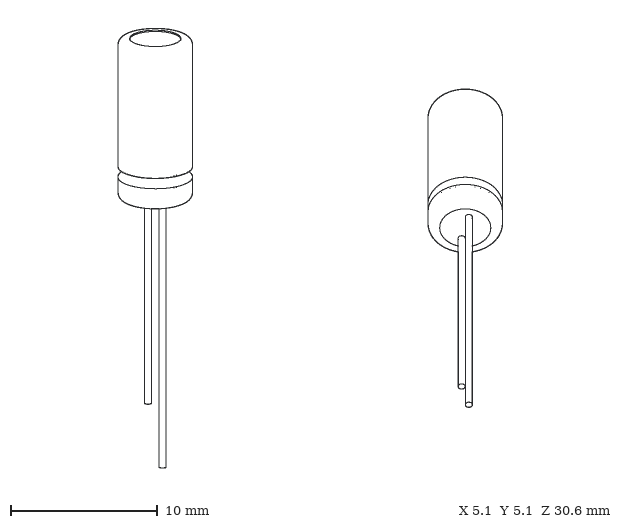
import cadquery as cq
import math

TOTAL_HEIGHT = 30.55
BODY_DIAMETER = 5.1
BODY_RADIUS = BODY_DIAMETER / 2

LONG_LEAD_LENGTH = 19.0
SHORT_LEAD_LENGTH = 15.0
LEAD_DIAMETER = 0.5
LEAD_SPACING = 2.02

BODY_HEIGHT = TOTAL_HEIGHT - LONG_LEAD_LENGTH
SLEEVE_WALL = 0.1
EDGE_RADIUS = 0.5
GROOVE_RADIUS = 0.37
GROOVE_HEIGHT = 1.95
OPENING_RADIUS = 1.75

SEAL_HEIGHT = 1.53


def body_of_revolution(inset):
    """Rounded cylinder with a crimp groove, set in from the outer surface by inset."""
    radius = BODY_RADIUS - inset
    bottom = inset
    top = BODY_HEIGHT - inset
    edge = EDGE_RADIUS - inset
    flat_radius = radius - edge
    diagonal = edge * math.sqrt(0.5)

    groove = GROOVE_RADIUS + inset
    half_width = math.sqrt(groove**2 - inset**2)

    return (
        cq.Workplane("XZ")
        .moveTo(0, bottom)
        .lineTo(flat_radius, bottom)
        .threePointArc((flat_radius + diagonal, bottom + edge - diagonal), (radius, bottom + edge))
        .lineTo(radius, GROOVE_HEIGHT - half_width)
        .threePointArc((BODY_RADIUS - groove, GROOVE_HEIGHT), (radius, GROOVE_HEIGHT + half_width))
        .lineTo(radius, top - edge)
        .threePointArc((flat_radius + diagonal, top - edge + diagonal), (flat_radius, top))
        .lineTo(0, top)
        .close()
        .revolve(360, (0, 0, 0), (0, 1, 0))
    )


def cylinder(radius, bottom, top, x=0):
    """Vertical cylinder between two heights."""
    return cq.Workplane("XY", origin=(x, 0, bottom)).circle(radius).extrude(top - bottom)


def make_lead(x, length):
    """Straight wire from the top of the seal to the given length below the base."""
    return cylinder(LEAD_DIAMETER / 2, -length, SEAL_HEIGHT, x)


def make_sleeve():
    """Thin skin over the can, open at both ends."""
    skin = body_of_revolution(0).cut(body_of_revolution(SLEEVE_WALL))
    return skin.cut(cylinder(OPENING_RADIUS, 0, BODY_HEIGHT))


def make_can():
    """Can with a round recess for the seal in its base."""
    return body_of_revolution(SLEEVE_WALL).cut(cylinder(OPENING_RADIUS, 0, SEAL_HEIGHT))


def make_seal(leads):
    """Seal flush with the base, with a hole for each lead."""
    seal = cylinder(OPENING_RADIUS, 0, SEAL_HEIGHT)
    for lead in leads:
        seal = seal.cut(lead)
    return seal


lead_places = [
    (-LEAD_SPACING / 2, SHORT_LEAD_LENGTH),
    (LEAD_SPACING / 2, LONG_LEAD_LENGTH),
]
leads = [make_lead(x, length) for x, length in lead_places]
sleeve = make_sleeve()
can = make_can()
seal = make_seal(leads)

result = cq.Compound.makeCompound(
    [sleeve.val(), can.val(), seal.val(), *[lead.val() for lead in leads]]
)